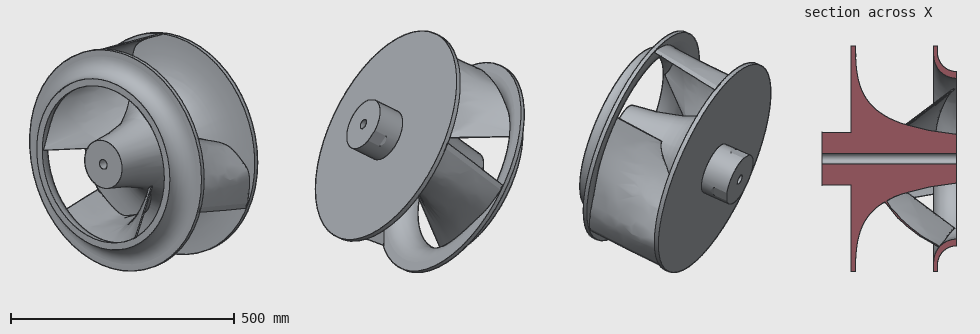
import cadquery as cq
import math


plate_radius = 253.0
plate_rear = 0.0
plate_front = -10.5
shroud_rear = -184.5
shroud_front = -194.0
mouth_y = -236.0
mouth_outer_radius = 195.5
mouth_inner_radius = 179.5
flare_outer_arc = shroud_front - mouth_y
flare_inner_arc = shroud_rear - mouth_y
flare_outer_radius = mouth_outer_radius + flare_outer_arc
flare_inner_radius = mouth_inner_radius + flare_inner_arc

nose_radius = 55.0
shaft_radius = 59.5
shaft_length = 64.5
bore_radius = 11.0

flat_count = 3
flat_width = 28.0
flat_length = 32.5
flat_ramp_length = 6.5

blade_count = 3
blade_thickness = 3.0
blade_tip_radius_rear = 251.5
blade_tip_radius_front = 250.5
blade_root_depth = 4.0
blade_hub_path = [
    (78.0, 180), (84.0, 160), (102.5, 143.7), (136.5, 134),
    (179.5, 128), (215.5, 119), (236.5, 111.5), (255.5, 91),
]
blade_shroud_path = [
    (180.0, 180), (184.0, 170), (191.0, 158), (200.5, 147),
    (211.0, 135), (226.5, 122), (239.0, 112), (255.5, 98),
]

hub_poles = [(nose_radius, mouth_y), (77.0, -35.5), (136.5, plate_front), (plate_radius, plate_front)]


def hub_point(t):
    """Radius and Y on the hub curve at parameter t, from 0 at the nose to 1 at the plate rim."""
    weights = [math.comb(3, i) * t**i * (1 - t) ** (3 - i) for i in range(4)]
    radius = sum(w * pole[0] for w, pole in zip(weights, hub_poles))
    y = sum(w * pole[1] for w, pole in zip(weights, hub_poles))
    return radius, y


bisection_steps = 40


def hub_surface_y(radius):
    """Y of the hub surface at a given radius, found by bisection."""
    low, high = 0.0, 1.0
    for _ in range(bisection_steps):
        middle = (low + high) / 2
        if hub_point(middle)[0] < radius:
            low = middle
        else:
            high = middle
    return hub_point(low)[1]


def shroud_surface_y(radius):
    """Y of the inner face of the shroud at a given radius."""
    offset = max(flare_inner_radius - radius, 0)
    return mouth_y + math.sqrt(flare_inner_arc**2 - offset**2)


def polar_point(radius, angle, y):
    """Point at a radius and angle (degrees from +X toward +Z) around the Y axis."""
    turn = math.radians(angle)
    return cq.Vector(radius * math.cos(turn), y, radius * math.sin(turn))


def revolve_profile(profile):
    """Solid of revolution about the Y axis."""
    return profile.close().revolve(360, (0, 0, 0), (0, 1, 0))


def make_hub():
    profile = (
        cq.Workplane("XY")
        .moveTo(0, mouth_y)
        .lineTo(nose_radius, mouth_y)
        .bezier(hub_poles)
        .lineTo(plate_radius, plate_rear)
        .lineTo(shaft_radius, plate_rear)
        .lineTo(shaft_radius, shaft_length)
        .lineTo(0, shaft_length)
    )
    return revolve_profile(profile)


def arc_middle(center_radius, arc_radius):
    """Middle of a quarter arc that bulges toward the axis and the rear."""
    offset = arc_radius * math.cos(math.radians(45))
    return (center_radius - offset, mouth_y + offset)


def make_shroud():
    outer_middle = arc_middle(flare_outer_radius, flare_outer_arc)
    inner_middle = arc_middle(flare_inner_radius, flare_inner_arc)
    profile = (
        cq.Workplane("XY")
        .moveTo(mouth_inner_radius, mouth_y)
        .lineTo(mouth_outer_radius, mouth_y)
        .threePointArc(outer_middle, (flare_outer_radius, shroud_front))
        .lineTo(plate_radius, shroud_front)
        .lineTo(plate_radius, shroud_rear)
        .lineTo(flare_inner_radius, shroud_rear)
        .threePointArc(inner_middle, (mouth_inner_radius, mouth_y))
    )
    return revolve_profile(profile)


def make_blade_envelope():
    """Space the blades may fill: out to the trailing edges and the outer face of the shroud."""
    outer_middle = arc_middle(flare_outer_radius, flare_outer_arc)
    profile = (
        cq.Workplane("XY")
        .moveTo(0, mouth_y)
        .lineTo(mouth_outer_radius, mouth_y)
        .threePointArc(outer_middle, (flare_outer_radius, shroud_front))
        .lineTo(blade_tip_radius_front, shroud_front)
        .lineTo(blade_tip_radius_rear, plate_rear)
        .lineTo(0, plate_rear)
    )
    return revolve_profile(profile)


def make_blade():
    """Ruled sheet from the hub to the shroud, thickened, running from leading to trailing edge."""
    hub_points = [polar_point(r, a, hub_surface_y(r) + blade_root_depth) for r, a in blade_hub_path]
    shroud_points = [polar_point(r, a, shroud_surface_y(r) - blade_root_depth) for r, a in blade_shroud_path]
    last = len(blade_hub_path) - 1
    steps = [i / last for i in range(last + 1)]
    hub_edge = cq.Edge.makeSpline(hub_points, parameters=steps)
    shroud_edge = cq.Edge.makeSpline(shroud_points, parameters=steps)
    sheet = cq.Face.makeRuledSurface(hub_edge, shroud_edge)
    return cq.Workplane(sheet.thicken(-blade_thickness)).intersect(make_blade_envelope())


def make_flat_cutter():
    """Wedge that mills one flat on the +X side of the shaft."""
    flat_distance = math.sqrt(shaft_radius**2 - (flat_width / 2) ** 2)
    flat_front = shaft_length - flat_length
    return (
        cq.Workplane("XY")
        .moveTo(flat_distance, shaft_length)
        .lineTo(flat_distance, flat_front)
        .lineTo(shaft_radius, flat_front - flat_ramp_length)
        .lineTo(plate_radius, flat_front - flat_ramp_length)
        .lineTo(plate_radius, shaft_length)
        .close()
        .extrude(shaft_radius, both=True)
    )


def turned(shape, index, count):
    """Copy number index of count evenly spaced copies around the Y axis."""
    return shape.rotate((0, 0, 0), (0, 1, 0), index * 360 / count)


impeller = make_hub().union(make_shroud())

blade = make_blade()
for i in range(blade_count):
    impeller = impeller.union(turned(blade, i, blade_count))

flat_cutter = make_flat_cutter()
for i in range(flat_count):
    impeller = impeller.cut(turned(flat_cutter, i, flat_count))

bore = cq.Workplane("XZ", origin=(0, shaft_length, 0)).circle(bore_radius).extrude(shaft_length - mouth_y)
result = impeller.cut(bore)